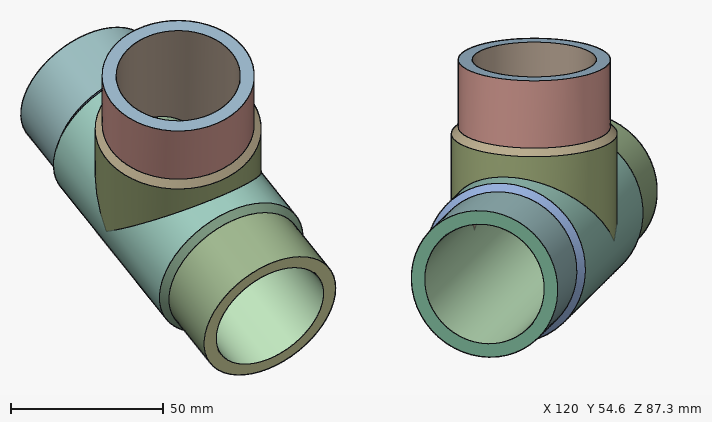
import cadquery as cq

run_length = 120.0
bore_diameter = 40.8
spigot_diameter = 50.0
body_diameter = 54.6
spigot_length = 23.0

arm_length = run_length / 2
body_reach = arm_length - spigot_length
shoulder_chamfer = (body_diameter - spigot_diameter) / 2

arm_planes = [cq.Workplane("YZ"), cq.Workplane("ZY"), cq.Workplane("XY")]


def arm_outside(plane):
    """Thick body with a bevelled shoulder, ending in a thinner spigot."""
    body = plane.circle(body_diameter / 2).extrude(body_reach)
    outer_end = cq.selectors.DirectionMinMaxSelector(plane.plane.zDir)
    body = body.faces(outer_end).chamfer(shoulder_chamfer)
    spigot = plane.circle(spigot_diameter / 2).extrude(arm_length)
    return body.union(spigot)


def arm_bore(plane):
    """Straight bore from the centre of the tee to the arm's open end."""
    return plane.circle(bore_diameter / 2).extrude(arm_length)


result = arm_outside(arm_planes[0])
for arm_plane in arm_planes[1:]:
    result = result.union(arm_outside(arm_plane))

for arm_plane in arm_planes:
    result = result.cut(arm_bore(arm_plane))